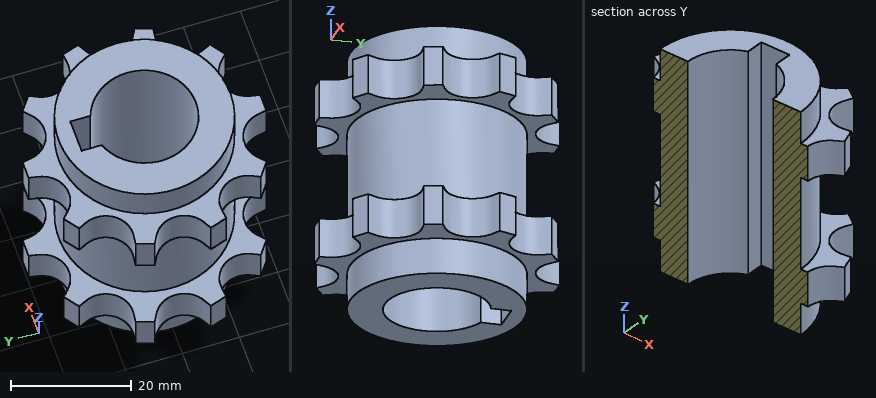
import cadquery as cq
import math

length = 45.0
hub_diameter = 30.0
bore_diameter = 18.0
keyway_width = 6.0
keyway_top = 12.0

tooth_count = 10
tip_to_tip = 41.7
root_diameter = 32.9
seat_radius = 4.72
seat_half_angle = 61.0
sprocket_thickness = 6.98
sprocket_inset = 6.35

tooth_pitch = 360.0 / tooth_count
seat_center = root_diameter / 2 + seat_radius
cutter_reach = tip_to_tip / 2 + seat_radius


def gap_cutter():
    """Tooth gap centred on +X: a round seat opening into straight tangent flanks."""
    angle = math.radians(seat_half_angle)
    seat_end_x = seat_center - seat_radius * math.cos(angle)
    seat_end_y = seat_radius * math.sin(angle)
    flank_end_y = seat_end_y + (cutter_reach - seat_end_x) / math.tan(angle)
    return (
        cq.Workplane("XY")
        .moveTo(cutter_reach, -flank_end_y)
        .lineTo(seat_end_x, -seat_end_y)
        .threePointArc((root_diameter / 2, 0), (seat_end_x, seat_end_y))
        .lineTo(cutter_reach, flank_end_y)
        .close()
        .extrude(sprocket_thickness)
    )


def sprocket():
    """Flat-tipped toothed disc on the XY plane, with gaps on the X axis and teeth on the Y axis."""
    disc = (
        cq.Workplane("XY")
        .transformed(rotate=(0, 0, tooth_pitch / 2))
        .polygon(tooth_count, tip_to_tip, circumscribed=True)
        .extrude(sprocket_thickness)
    )
    cutter = gap_cutter()
    for index in range(tooth_count):
        disc = disc.cut(cutter.rotate((0, 0, 0), (0, 0, 1), index * tooth_pitch))
    return disc


body = cq.Workplane("XY").circle(hub_diameter / 2).extrude(length / 2, both=True)
upper_base = length / 2 - sprocket_inset - sprocket_thickness
lower_base = -length / 2 + sprocket_inset
for base in (lower_base, upper_base):
    body = body.union(sprocket().translate((0, 0, base)))

bore = cq.Workplane("XY").circle(bore_diameter / 2).extrude(length / 2, both=True)
keyway = (
    cq.Workplane("XY")
    .center(0, keyway_top / 2)
    .rect(keyway_width, keyway_top)
    .extrude(length / 2, both=True)
)
result = body.cut(bore).cut(keyway)